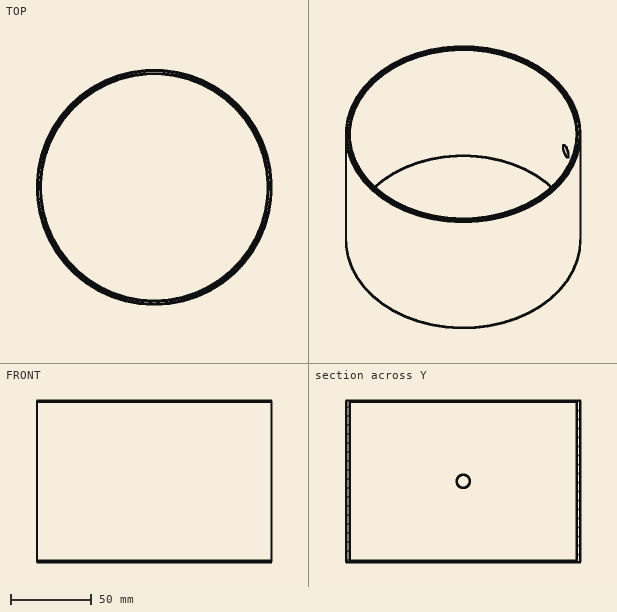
import cadquery as cq

outer_diameter = 145.0
height = 100.0
wall = 2.5
outer_radius = outer_diameter / 2
inner_radius = outer_radius - wall

bevel_width = 0.51
bevel_height = 1.0

hole_diameter = 8.0
hole_height = height / 2


def make_tube():
    """Tube standing on the XY plane, revolved from its bevelled wall section."""
    wall_section = [
        (inner_radius + bevel_width, 0),
        (outer_radius - bevel_width, 0),
        (outer_radius, bevel_height),
        (outer_radius, height - bevel_height),
        (outer_radius - bevel_width, height),
        (inner_radius + bevel_width, height),
        (inner_radius, height - bevel_height),
        (inner_radius, bevel_height),
    ]
    section_plane = cq.Plane(origin=(0, 0, 0), xDir=(0, -1, 0), normal=(-1, 0, 0))
    return cq.Workplane(section_plane).polyline(wall_section).close().revolve(360, (0, 0), (0, 1))


def make_hole_cutter():
    """Cylinder from the tube axis outward through the +Y wall."""
    return (
        cq.Workplane("XZ")
        .center(0, hole_height)
        .circle(hole_diameter / 2)
        .extrude(-outer_diameter)
    )


result = make_tube().cut(make_hole_cutter())